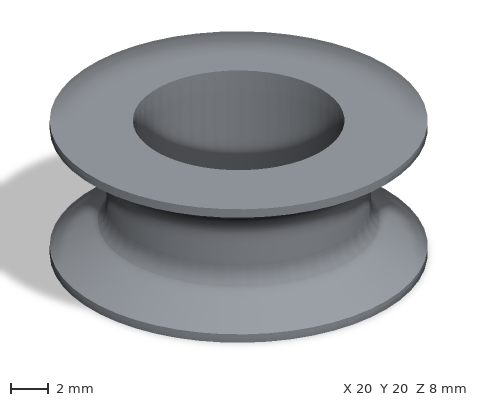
import cadquery as cq
import math

outer_diameter = 20
bore_diameter = 11.2
waist_diameter = 14
height = 8
rim_thickness = 0.5
waist_height = 2
cone_foot_diameter = 14.9
cone_foot_height = 2

outer_radius = outer_diameter / 2
bore_radius = bore_diameter / 2
waist_radius = waist_diameter / 2
cone_foot_radius = cone_foot_diameter / 2
half_height = height / 2
half_waist = waist_height / 2
rim_edge = half_height - rim_thickness

arc_rise = cone_foot_height - half_waist
arc_run = cone_foot_radius - waist_radius
arc_radius = (arc_rise**2 + arc_run**2) / (2 * arc_run)
half_sweep = math.atan2(arc_run, arc_rise)
arc_middle_radius = waist_radius + arc_radius * (1 - math.cos(half_sweep))
arc_middle_height = half_waist + arc_radius * math.sin(half_sweep)

section = (
    cq.Workplane("XZ")
    .moveTo(waist_radius, -half_waist)
    .lineTo(waist_radius, half_waist)
    .threePointArc((arc_middle_radius, arc_middle_height), (cone_foot_radius, cone_foot_height))
    .lineTo(outer_radius, rim_edge)
    .lineTo(outer_radius, half_height)
    .lineTo(bore_radius, half_height)
    .lineTo(bore_radius, -half_height)
    .lineTo(outer_radius, -half_height)
    .lineTo(outer_radius, -rim_edge)
    .lineTo(cone_foot_radius, -cone_foot_height)
    .threePointArc((arc_middle_radius, -arc_middle_height), (waist_radius, -half_waist))
    .close()
)

result = section.revolve(360, (0, 0, 0), (0, 1, 0))